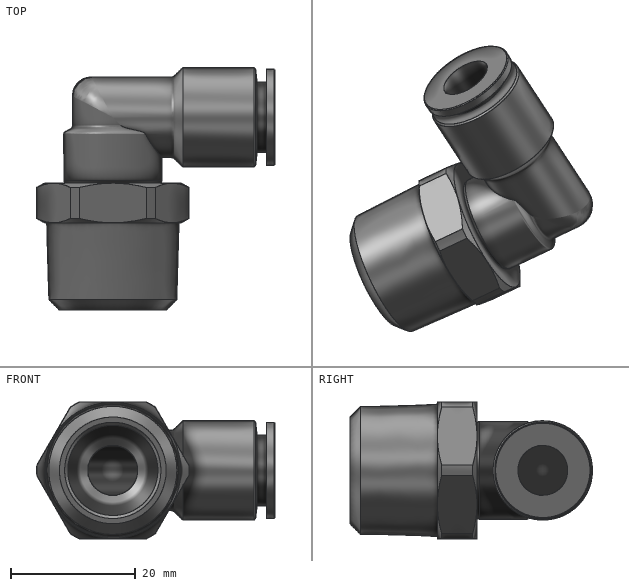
import cadquery as cq
import math


tube_radius = 13.0 / 2
corner_radius = 3.05

body_radius = 16 / 2
shoulder_start = 9.7
shoulder_end = 11.27
shoulder_root_fillet = 0.55
body_end = 22.97
body_chamfer = 0.27
neck_start = 23.2
neck_radius = 11.4 / 2
flange_start = 24.7
flange_radius = 15.5 / 2
flange_chamfer = 0.15
arm_end = 26.05

collar_radius = 15.8 / 2
collar_top = 1.68
collar_shoulder = 2.45
collar_root_fillet = 0.6
collar_edge_fillet = 0.4
relief_start = 10.15
relief_radius = 15.5 / 2
hex_start = 10.55
hex_end = 16.95
thread_end = 31.0
thread_chamfer = 1.7
thread_root_radius = 10.65
thread_tip_radius = 10.3

hex_flats = 22.0
hex_corner_radius = 12.25
hex_face_radius = 10.95
hex_chamfer_length = 0.7

passage_radius = 8.0 / 2
bore_radius = 14.5 / 2
bore_mouth_radius = 15.5 / 2
bore_mouth_depth = bore_mouth_radius - bore_radius
bore_end = 12.4
point_angle = 118
funnel_end = bore_end - (bore_radius - passage_radius) / math.tan(math.radians(point_angle / 2))


def turned_stem(points):
    """Solid turned about the stem axis from (radius, distance along -Y) points."""
    profile = [(radius, -distance) for radius, distance in points]
    return cq.Workplane("XY").polyline(profile).close().revolve(360, (0, 0, 0), (0, 1, 0))


def turned_arm(points):
    """Solid turned about the arm axis from (distance along +X, radius) points."""
    return cq.Workplane("XY").polyline(points).close().revolve(360, (0, 0, 0), (1, 0, 0))


def make_elbow():
    """Two equal tubes meeting at a right angle, with the outer corner ridge rounded."""
    stem_tube = cq.Workplane("XZ").circle(tube_radius).extrude(relief_start)
    arm_tube = cq.Workplane("YZ").circle(tube_radius).extrude(shoulder_end)
    stem_knee = cq.Workplane("XZ", origin=(0, tube_radius, 0)).circle(tube_radius).extrude(tube_radius)
    arm_knee = cq.Workplane("YZ", origin=(-tube_radius, 0, 0)).circle(tube_radius).extrude(tube_radius)
    knee = stem_knee.intersect(arm_knee)
    corner = (-tube_radius, tube_radius, 0)
    knee = knee.edges(cq.selectors.NearestToPointSelector(corner)).fillet(corner_radius)
    return stem_tube.union(arm_tube).union(knee)


def make_arm():
    """Release flange, neck and body, with a rounded root where the shoulder meets the tube."""
    stub_start = shoulder_start - shoulder_root_fillet
    arm = turned_arm([
        (stub_start, 0),
        (stub_start, tube_radius),
        (shoulder_start, tube_radius),
        (shoulder_end, body_radius),
        (body_end - body_chamfer, body_radius),
        (body_end, body_radius - body_chamfer),
        (neck_start, neck_radius),
        (flange_start, neck_radius),
        (flange_start, flange_radius),
        (arm_end - flange_chamfer, flange_radius),
        (arm_end, flange_radius - flange_chamfer),
        (arm_end, 0),
    ])
    root_edge = cq.selectors.NearestToPointSelector((shoulder_start, 0, 0))
    return arm.edges("%CIRCLE").edges(root_edge).fillet(shoulder_root_fillet)


def make_collar():
    """Collar with a conical shoulder rounded at both ends and a tapered relief above the hexagon."""
    stub_top = collar_top - collar_root_fillet
    collar = turned_stem([
        (0, stub_top),
        (tube_radius, stub_top),
        (tube_radius, collar_top),
        (collar_radius, collar_shoulder),
        (collar_radius, relief_start),
        (relief_radius, hex_start),
        (0, hex_start),
    ])
    root_edge = cq.selectors.NearestToPointSelector((0, -collar_top, 0))
    shoulder_edge = cq.selectors.NearestToPointSelector((0, -collar_shoulder, 0))
    collar = collar.edges("%CIRCLE").edges(root_edge).fillet(collar_root_fillet)
    return collar.edges("%CIRCLE").edges(shoulder_edge).fillet(collar_edge_fillet)


def make_hexagon():
    """Hexagon with rounded corners and a conical chamfer on both faces."""
    across_corners = hex_flats / math.cos(math.pi / 6)
    prism = (
        cq.Workplane("XZ", origin=(0, -hex_start, 0))
        .polygon(6, across_corners)
        .extrude(hex_end - hex_start)
    )
    envelope = turned_stem([
        (0, hex_start),
        (hex_face_radius, hex_start),
        (hex_corner_radius, hex_start + hex_chamfer_length),
        (hex_corner_radius, hex_end - hex_chamfer_length),
        (hex_face_radius, hex_end),
        (0, hex_end),
    ])
    return prism.intersect(envelope)


def make_thread():
    """Plain tapered blank of the pipe thread."""
    return turned_stem([
        (0, hex_end),
        (thread_root_radius, hex_end),
        (thread_tip_radius, thread_end - thread_chamfer),
        (thread_tip_radius - thread_chamfer, thread_end),
        (0, thread_end),
    ])


def make_stem_passage():
    """Wide bore that funnels down to the passage meeting the arm axis."""
    return turned_stem([
        (0, 0),
        (passage_radius, 0),
        (passage_radius, funnel_end),
        (bore_radius, bore_end),
        (bore_radius, thread_end - bore_mouth_depth),
        (bore_mouth_radius, thread_end),
        (0, thread_end),
    ])


def make_arm_passage():
    start = -passage_radius
    return cq.Workplane("YZ", origin=(start, 0, 0)).circle(passage_radius).extrude(arm_end - start)


result = (
    make_elbow()
    .union(make_arm())
    .union(make_collar())
    .union(make_hexagon())
    .union(make_thread())
    .cut(make_stem_passage())
    .cut(make_arm_passage())
)